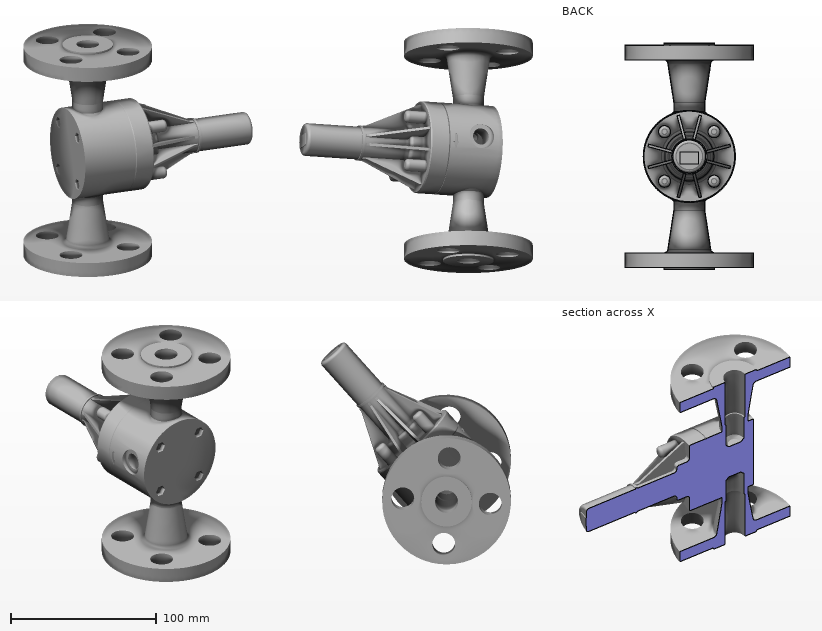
import cadquery as cq


flange_diameter = 88.9
flange_bottom = 66.5
flange_top = 76.7
raised_face_diameter = 35.0
overall_height = 156.2
raised_face_top = overall_height / 2
hub_fillet = 2.6
hub_diameter = 30.4
neck_diameter = 21.4
neck_top = 37.1
neck_bottom = 30.9
flare_height = 3.0
flange_bore = 15.8
body_bore = 14.0
bore_seat_diameter = 9.5
bore_seat_height = 14.8
bore_seat_depth = (body_bore - bore_seat_diameter) / 2
bolt_hole_diameter = 15.8
bolt_hole_offset = 21.4

body_diameter = 63.5
body_front = -15.0
cover_front = 22.8
cover_back = 36.6
cover_chamfer_length = 0.8
cover_chamfer_height = 0.5

hub_ring_diameter = 33.8
hub_ring_back = 46.8
hub_ring_fillet = 2.3
tube_diameter = 22.7
collar_diameter = 24.3
collar_front = 78.5
collar_back = 80.0
cap_back = 119.2
cap_fillet = 2.1
pad_width = 12.6
pad_height = 8.4
pad_drop = 1.0
overall_length = 164.2
pad_back = overall_length - flange_diameter / 2

rib_thickness = 1.8
rib_half_angle = 15
rib_inner_radius = 8.2
rib_tip_radius = 12.3
rib_base_radius = 29.2
rib_tip_back = 77.4
rib_tip_front = 75.0
rib_base_back = 37.6

bolt_offset = 17.0
bolt_diameter = 8.4
bolt_end = 51.2
bolt_end_fillet = 2.3
hex_across_corners = 7.9
hex_depth = 3.3

port_height = 3.8
port_recess_diameter = 17.5
port_recess_floor = 29.0
port_diameter = 11.3
port_floor = 14.8
drain_height = 6.5
drain_diameter = 5.6
drain_depth = 3.3
drain_tip_depth = 1.6

arrow_y = 18.7
arrow_top = 4.5
arrow_head_top = -1.5
arrow_point = -6.0
arrow_shaft_width = 1.6
arrow_head_width = 4.0
arrow_depth = 0.5

body_radius = body_diameter / 2


def cylinder_y(diameter, start, end):
    """Cylinder on the Y axis between two Y positions."""
    return cq.Workplane("XZ", origin=(0, start, 0)).circle(diameter / 2).extrude(start - end)


def square_corners(offset):
    return [(sx * offset, sy * offset) for sx in (-1, 1) for sy in (-1, 1)]


def make_body():
    body = cylinder_y(body_diameter, body_front, cover_front)
    cover = cylinder_y(body_diameter, cover_front, cover_back)
    cover = cover.faces("<Y or >Y").edges().chamfer(cover_chamfer_length, cover_chamfer_height)
    return body.union(cover)


def make_pipe_stub():
    """Flange, tapered hub and neck of the upper pipe, without its bore."""
    neck_radius = neck_diameter / 2
    flare_bottom = neck_bottom - flare_height
    outline = [
        (0, flare_bottom),
        (neck_radius + flare_height, flare_bottom),
        (neck_radius, neck_bottom),
        (neck_radius, neck_top),
        (hub_diameter / 2, flange_bottom),
        (flange_diameter / 2, flange_bottom),
        (flange_diameter / 2, flange_top),
        (raised_face_diameter / 2, flange_top),
        (raised_face_diameter / 2, raised_face_top),
        (0, raised_face_top),
    ]
    stub = cq.Workplane("XZ").polyline(outline).close().revolve(360, (0, 0, 0), (0, 1, 0))
    hub_corner = cq.selectors.RadiusNthSelector(2)
    stub = stub.edges("%CIRCLE").edges(hub_corner).fillet(hub_fillet)
    bolt_holes = (
        cq.Workplane("XY", origin=(0, 0, flange_bottom))
        .pushPoints(square_corners(bolt_hole_offset))
        .circle(bolt_hole_diameter / 2)
        .extrude(flange_top - flange_bottom)
    )
    return stub.cut(bolt_holes)


def make_pipe_bore():
    """Stepped blind bore of the upper pipe, ending in a conical seat with a flat floor."""
    seat_top = bore_seat_height + bore_seat_depth
    outline = [
        (0, bore_seat_height),
        (bore_seat_diameter / 2, bore_seat_height),
        (body_bore / 2, seat_top),
        (body_bore / 2, neck_top),
        (flange_bore / 2, neck_top),
        (flange_bore / 2, raised_face_top),
        (0, raised_face_top),
    ]
    return cq.Workplane("XZ").polyline(outline).close().revolve(360, (0, 0, 0), (0, 1, 0))


def make_spindle():
    """Hub ring, tube, collar and cap of the spindle housing."""
    tube_radius = tube_diameter / 2
    ring_radius = hub_ring_diameter / 2
    fillet = hub_ring_fillet
    lower = (
        cq.Workplane("XY")
        .moveTo(0, cover_front)
        .lineTo(ring_radius + fillet, cover_front)
        .lineTo(ring_radius + fillet, cover_back)
        .radiusArc((ring_radius, cover_back + fillet), fillet)
        .lineTo(ring_radius, hub_ring_back - fillet)
        .radiusArc((ring_radius - fillet, hub_ring_back), -fillet)
        .lineTo(tube_radius + fillet, hub_ring_back)
        .radiusArc((tube_radius, hub_ring_back + fillet), fillet)
        .lineTo(tube_radius, collar_front)
        .lineTo(0, collar_front)
        .close()
        .revolve(360, (0, 0, 0), (0, 1, 0))
    )
    collar = cylinder_y(collar_diameter, collar_front, collar_back)
    cap = cylinder_y(tube_diameter, collar_back, cap_back).faces(">Y").edges().fillet(cap_fillet)
    pad = (
        cq.Workplane("XZ", origin=(0, cap_back, -pad_drop))
        .rect(pad_width, pad_height)
        .extrude(cap_back - pad_back)
    )
    return lower.union(collar).union(cap).union(pad)


def make_ribs():
    """Four pairs of radial ribs bracing the tube against the cover."""
    rib_outline = [
        (rib_inner_radius, cover_back),
        (rib_base_radius, cover_back),
        (rib_base_radius, rib_base_back),
        (rib_tip_radius, rib_tip_front),
        (rib_tip_radius, rib_tip_back),
        (rib_inner_radius, rib_tip_back),
    ]
    rib = cq.Workplane("XY").polyline(rib_outline).close().extrude(rib_thickness / 2, both=True)
    ribs = cq.Workplane("XY")
    for quarter in range(4):
        for side in (-1, 1):
            angle = 90 * quarter + side * rib_half_angle
            ribs = ribs.union(rib.rotate((0, 0, 0), (0, 1, 0), angle))
    return ribs


def make_cover_bolts():
    return (
        cq.Workplane("XZ", origin=(0, cover_back, 0))
        .pushPoints(square_corners(bolt_offset))
        .circle(bolt_diameter / 2)
        .extrude(cover_back - bolt_end)
        .faces(">Y")
        .edges()
        .fillet(bolt_end_fillet)
    )


def make_hex_recesses():
    return (
        cq.Workplane("XZ", origin=(0, body_front, 0))
        .pushPoints(square_corners(bolt_offset))
        .polygon(6, hex_across_corners)
        .extrude(-hex_depth)
    )


def side_hole(diameter, height, start, floor):
    """Hole entering from -X, between two distances from the Z axis."""
    return (
        cq.Workplane("YZ", origin=(-start, 0, height))
        .circle(diameter / 2)
        .extrude(start - floor)
    )


def make_side_port():
    recess = side_hole(port_recess_diameter, port_height, body_radius, port_recess_floor)
    port = side_hole(port_diameter, port_height, body_radius, port_floor)
    drain_end = port_floor - drain_depth
    drain = side_hole(drain_diameter, drain_height, port_floor, drain_end)
    drain_tip = cq.Solid.makeCone(
        drain_diameter / 2,
        0,
        drain_tip_depth,
        cq.Vector(-drain_end, 0, drain_height),
        cq.Vector(1, 0, 0),
    )
    return recess.union(port).union(drain).union(cq.Workplane(drain_tip))


def make_flow_arrow():
    """Shallow arrow engraved in the -X side of the body, pointing down."""
    half_shaft = arrow_shaft_width / 2
    half_head = arrow_head_width / 2
    outline = [
        (arrow_y - half_shaft, arrow_top),
        (arrow_y - half_shaft, arrow_head_top),
        (arrow_y - half_head, arrow_head_top),
        (arrow_y, arrow_point),
        (arrow_y + half_head, arrow_head_top),
        (arrow_y + half_shaft, arrow_head_top),
        (arrow_y + half_shaft, arrow_top),
    ]
    prism = cq.Workplane("YZ").polyline(outline).close().extrude(-body_diameter)
    return prism.cut(cylinder_y(body_diameter - 2 * arrow_depth, body_front, cover_front))


upper_stub = make_pipe_stub()
upper_bore = make_pipe_bore()

result = (
    make_body()
    .union(upper_stub)
    .union(upper_stub.mirror("XY"))
    .union(make_spindle())
    .union(make_ribs())
    .union(make_cover_bolts())
    .cut(upper_bore)
    .cut(upper_bore.mirror("XY"))
    .cut(make_hex_recesses())
    .cut(make_side_port())
    .cut(make_flow_arrow())
)